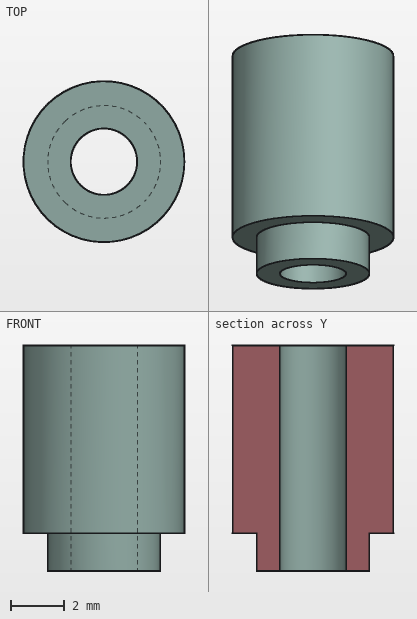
import cadquery as cq

total_height = 8.4
body_diameter = 6.0
spigot_diameter = 4.2
spigot_height = 1.4
bore_diameter = 2.46
body_height = total_height - spigot_height

spigot = cq.Workplane("XY").circle(spigot_diameter / 2).extrude(spigot_height)

bush = spigot.faces(">Z").workplane().circle(body_diameter / 2).extrude(body_height)

bore = cq.Workplane("XY").circle(bore_diameter / 2).extrude(total_height)

result = bush.cut(bore)